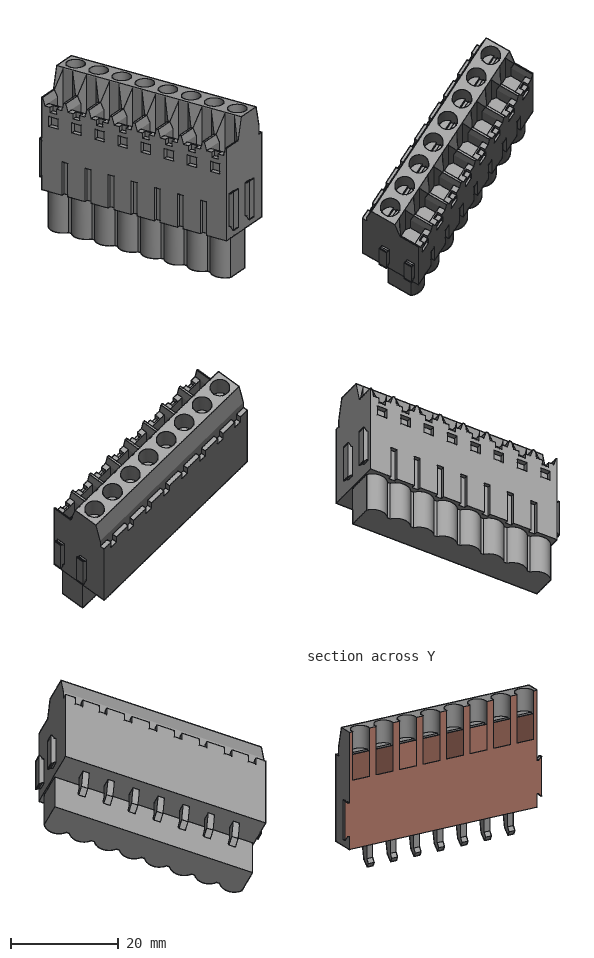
import cadquery as cq


POLES = 8
PITCH = 5.07
WIDTH = POLES * PITCH
TOTAL_LENGTH = 42.65

TOTAL_HEIGHT = 31.8
DEPTH = 12.2
BODY_BOTTOM = 8.35
SLOPE_FOOT_Z = 27.37
BACK_LEDGE_Z = 25.75
FRONT_SLOPE_FOOT_Y = 4.0
TOP_FRONT_Y = 5.1
TOP_BACK_Y = 10.2
BACK_WALL_Y = 11.25

FUNNEL_DROP = 0.25
FUNNEL_BACK_WIDTH = 2.1
FUNNEL_WIDTH = 4.65
FUNNEL_MOUTH_WIDTH = 3.65
SILL_Z = 25.75
SILL_DEPTH = 1.25
PIT_FLOOR_Z = 21.75

RECESS_DEPTH = 0.95
NOTCH_WIDTH = 1.4
NOTCH_HEIGHT = 1.05
WINDOW_SIZE = 2.05
WINDOW_BOTTOM_Z = 21.75
GROOVE_WIDTH = 1.3
GROOVE_TOP_Z = 15.22
GROOVE_DEPTH = 0.72

LEDGE_SLOT_WIDTH = 1.55
LEDGE_SLOT_HEIGHT = 1.7
END_SLOT_INSET = 0.2

PLUG_BACK_Y = 6.75
PLUG_SHOULDER_Y = 1.8
PLUG_FRONT_Y = 0.7
PLUG_LENGTH = 40.1
LOBE_WIDTH = 4.48

HOOK_WIDTH = 1.3
HOOK_ROOT_FRONT_Y = 8.4
HOOK_ROOT_BACK_Y = 10.2
HOOK_BARB_Y = 7.85
HOOK_TIP_Y = 8.27
HOOK_HEEL_Y = 9.5
HOOK_STEM_LENGTH = 3.05
HOOK_HEEL_DROP = 3.6
HOOK_BARB_DROP = 3.9
HOOK_TIP_DROP = 4.75

RIB_HEIGHT = 7.95
RIB_BOTTOM_Z = 10.4
RIB_WIDTH = 1.6
RIB_FRONT_YS = (0.85, 6.3)
RIB_NECK = 0.35
RIB_LIP = 0.15
RIB_UNDERCUT = 0.6

SCREW_DIAMETER = 3.62
SCREW_Y = 7.68
SCREW_TOP_Z = 27.3
SCREW_LENGTH = 5.1
SCREW_SLOT_WIDTH = 0.72
SCREW_SLOT_DEPTH = 0.85

pole_xs = [(i - (POLES - 1) / 2) * PITCH for i in range(POLES)]
gap_xs = [x + PITCH / 2 for x in pole_xs[:-1]]


def box(x_center, x_size, y0, y1, z0, z1):
    """Box centred on x_center, spanning y0..y1 and z0..z1."""
    return (
        cq.Workplane("XY")
        .box(x_size, y1 - y0, z1 - z0, centered=(True, False, False))
        .translate((x_center, y0, z0))
    )


def extrude_along_x(profile, x_center, length):
    """Prism of (y, z) points, centred on x_center."""
    return (
        cq.Workplane("YZ")
        .polyline(profile)
        .close()
        .extrude(length / 2, both=True)
        .translate((x_center, 0, 0))
    )


def housing_body():
    """Main block with the sloped screw tower."""
    profile = [
        (0, BODY_BOTTOM),
        (DEPTH, BODY_BOTTOM),
        (DEPTH, BACK_LEDGE_Z),
        (BACK_WALL_Y, BACK_LEDGE_Z),
        (BACK_WALL_Y, SLOPE_FOOT_Z),
        (TOP_BACK_Y, TOTAL_HEIGHT),
        (TOP_FRONT_Y, TOTAL_HEIGHT),
        (FRONT_SLOPE_FOOT_Y, SLOPE_FOOT_Z),
        (0, SLOPE_FOOT_Z),
    ]
    return extrude_along_x(profile, 0, WIDTH)


def plug_lobe(x):
    """Round-fronted section of the plug at one pole, up to the underside of the body."""
    half = LOBE_WIDTH / 2
    return (
        cq.Workplane("XY")
        .moveTo(x - half, PLUG_BACK_Y)
        .lineTo(x - half, PLUG_SHOULDER_Y)
        .threePointArc((x, PLUG_FRONT_Y), (x + half, PLUG_SHOULDER_Y))
        .lineTo(x + half, PLUG_BACK_Y)
        .close()
        .extrude(BODY_BOTTOM)
    )


def latch_hook(x):
    """Barbed hook under the body, behind the plug."""
    profile = [
        (HOOK_ROOT_FRONT_Y, BODY_BOTTOM),
        (HOOK_ROOT_FRONT_Y, BODY_BOTTOM - HOOK_STEM_LENGTH),
        (HOOK_BARB_Y, BODY_BOTTOM - HOOK_BARB_DROP),
        (HOOK_TIP_Y, BODY_BOTTOM - HOOK_TIP_DROP),
        (HOOK_HEEL_Y, BODY_BOTTOM - HOOK_HEEL_DROP),
        (HOOK_ROOT_BACK_Y, BODY_BOTTOM),
    ]
    return extrude_along_x(profile, x, HOOK_WIDTH)


def coding_rib(side, front_y):
    """Dovetail rib on one end face; side is -1 or +1."""
    root_x = side * WIDTH / 2
    neck_x = side * (WIDTH / 2 + RIB_NECK)
    lip_x = side * (TOTAL_LENGTH / 2 - RIB_LIP)
    tip_x = side * TOTAL_LENGTH / 2
    top_z = RIB_BOTTOM_Z + RIB_HEIGHT
    profile = [
        (root_x, RIB_BOTTOM_Z + RIB_UNDERCUT),
        (neck_x, RIB_BOTTOM_Z + RIB_UNDERCUT),
        (lip_x, RIB_BOTTOM_Z),
        (tip_x, RIB_BOTTOM_Z),
        (tip_x, top_z),
        (lip_x, top_z),
        (neck_x, top_z - RIB_UNDERCUT),
        (root_x, top_z - RIB_UNDERCUT),
    ]
    return (
        cq.Workplane("XZ", origin=(0, front_y, 0))
        .polyline(profile)
        .close()
        .extrude(-RIB_WIDTH)
    )


def wire_funnel(x):
    """Space cut for one wire: tapered in plan at the back, bevelled towards the sill, with a pit."""
    slope = (TOP_FRONT_Y - FRONT_SLOPE_FOOT_Y) / (TOTAL_HEIGHT - SLOPE_FOOT_Z)
    back_y = TOP_FRONT_Y - FUNNEL_DROP * slope
    plan = [
        (x - FUNNEL_WIDTH / 2, 0),
        (x - FUNNEL_WIDTH / 2, FRONT_SLOPE_FOOT_Y),
        (x - FUNNEL_BACK_WIDTH / 2, back_y),
        (x + FUNNEL_BACK_WIDTH / 2, back_y),
        (x + FUNNEL_WIDTH / 2, FRONT_SLOPE_FOOT_Y),
        (x + FUNNEL_WIDTH / 2, 0),
    ]
    column = (
        cq.Workplane("XY", origin=(0, 0, PIT_FLOOR_Z))
        .polyline(plan)
        .close()
        .extrude(TOTAL_HEIGHT - FUNNEL_DROP - PIT_FLOOR_Z)
    )
    section = [
        (x - FUNNEL_MOUTH_WIDTH / 2, PIT_FLOOR_Z),
        (x - FUNNEL_MOUTH_WIDTH / 2, SILL_Z),
        (x - FUNNEL_WIDTH / 2, SLOPE_FOOT_Z),
        (x - FUNNEL_WIDTH / 2, TOTAL_HEIGHT),
        (x + FUNNEL_WIDTH / 2, TOTAL_HEIGHT),
        (x + FUNNEL_WIDTH / 2, SLOPE_FOOT_Z),
        (x + FUNNEL_MOUTH_WIDTH / 2, SILL_Z),
        (x + FUNNEL_MOUTH_WIDTH / 2, PIT_FLOOR_Z),
    ]
    passage = cq.Workplane("XZ").polyline(section).close().extrude(-DEPTH)
    sill = box(x, FUNNEL_WIDTH, 0, SILL_DEPTH, PIT_FLOOR_Z, SILL_Z)
    return column.intersect(passage).cut(sill)


def screw_cylinder(x, top_z):
    """Cylinder on the screw axis, from the underside of the screw up to top_z."""
    bottom_z = SCREW_TOP_Z - SCREW_LENGTH
    return (
        cq.Workplane("XY", origin=(x, SCREW_Y, bottom_z))
        .circle(SCREW_DIAMETER / 2)
        .extrude(top_z - bottom_z)
    )


def make_housing():
    housing = housing_body()

    housing = housing.union(box(0, PLUG_LENGTH, PLUG_SHOULDER_Y, PLUG_BACK_Y, 0, BODY_BOTTOM))
    for x in pole_xs:
        housing = housing.union(plug_lobe(x))

    for x in gap_xs:
        housing = housing.union(latch_hook(x))
        housing = housing.cut(box(x, GROOVE_WIDTH, 0, GROOVE_DEPTH, BODY_BOTTOM, GROOVE_TOP_Z))

    for side in (-1, 1):
        for front_y in RIB_FRONT_YS:
            housing = housing.union(coding_rib(side, front_y))

    window_top = WINDOW_BOTTOM_Z + WINDOW_SIZE
    for x in pole_xs:
        housing = housing.cut(wire_funnel(x))
        housing = housing.cut(box(x, NOTCH_WIDTH, 0, RECESS_DEPTH, SILL_Z - NOTCH_HEIGHT, SILL_Z))
        housing = housing.cut(box(x, WINDOW_SIZE, 0, RECESS_DEPTH, WINDOW_BOTTOM_Z, window_top))
        housing = housing.cut(screw_cylinder(x, TOTAL_HEIGHT))

    end_slot_x = pole_xs[-1] - END_SLOT_INSET
    slot_bottom = BACK_LEDGE_Z - LEDGE_SLOT_HEIGHT
    for x in [-end_slot_x, *pole_xs[1:-1], end_slot_x]:
        housing = housing.cut(box(x, LEDGE_SLOT_WIDTH, BACK_WALL_Y, DEPTH, slot_bottom, BACK_LEDGE_Z))
    return housing


def make_screw(x):
    """Slotted clamping screw seated at the bottom of its shaft."""
    slot_bottom = SCREW_TOP_Z - SCREW_SLOT_DEPTH
    slot_front = SCREW_Y - SCREW_SLOT_WIDTH / 2
    slot_back = SCREW_Y + SCREW_SLOT_WIDTH / 2
    slot = box(x, SCREW_DIAMETER, slot_front, slot_back, slot_bottom, SCREW_TOP_Z)
    return screw_cylinder(x, SCREW_TOP_Z).cut(slot)


housing = make_housing()
screws = [make_screw(x) for x in pole_xs]

result = cq.Compound.makeCompound([housing.val(), *[screw.val() for screw in screws]])